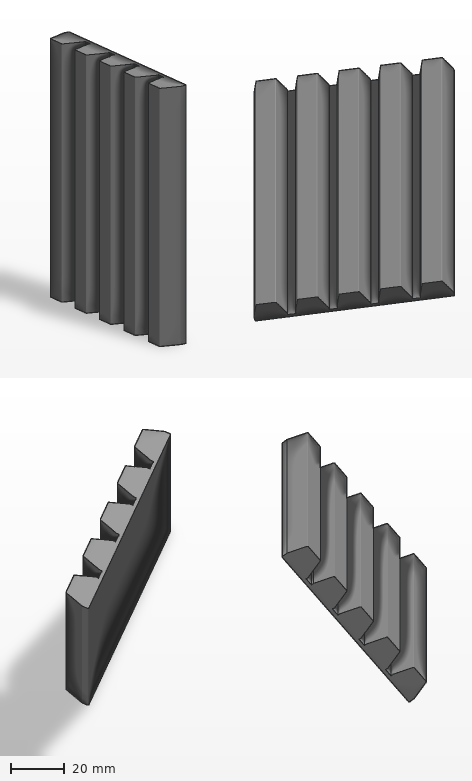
import cadquery as cq
import math

width = 76.2
depth = 10.4
height = 101.6

rib_count = 5
rib_root_width = 12.7
rib_pitch = (width - rib_root_width) / (rib_count - 1)
straight_depth = 2.5
flank_angle = 18.0
web_thickness = 1.5
edge_radius = 0.4

back_y = depth / 2
tip_y = -depth / 2
shoulder_y = back_y - straight_depth
taper_inset = (depth - straight_depth) * math.tan(math.radians(flank_angle))


def make_rib(center_x):
    """Full-height rib with rounded tip edges, reaching back to the rear face."""
    root_half = rib_root_width / 2
    tip_half = root_half - taper_inset
    outline = [
        (center_x - root_half, back_y),
        (center_x - root_half, shoulder_y),
        (center_x - tip_half, tip_y),
        (center_x + tip_half, tip_y),
        (center_x + root_half, shoulder_y),
        (center_x + root_half, back_y),
    ]
    rib = cq.Workplane("XY").polyline(outline).close().extrude(height)
    return rib.faces("<Y").edges("|Z").fillet(edge_radius)


result = (
    cq.Workplane("XY")
    .box(width, web_thickness, height, centered=(True, False, False))
    .translate((0, back_y - web_thickness, 0))
)

for index in range(rib_count):
    rib_x = (index - (rib_count - 1) / 2) * rib_pitch
    result = result.union(make_rib(rib_x))

result = result.clean()
result = result.faces(">Y").edges("|Z").fillet(edge_radius)